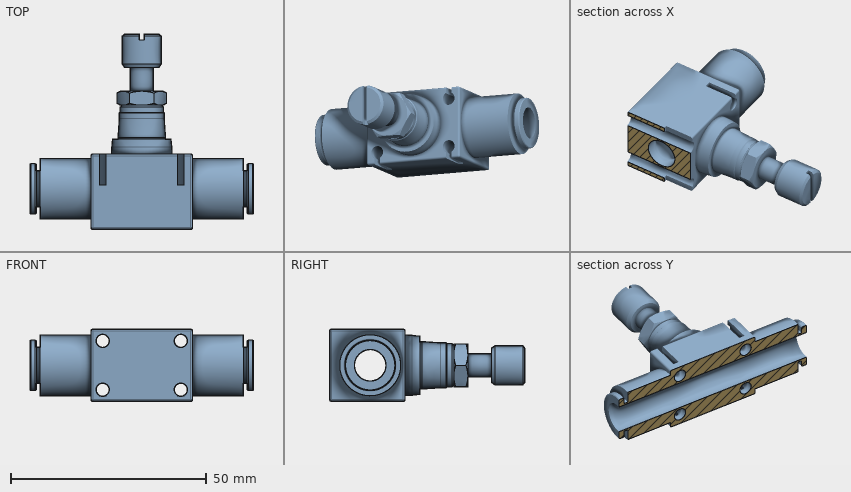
import cadquery as cq
import math

BODY_LENGTH = 26.0
BODY_HEIGHT = 18.5
BODY_BACK = 8.95
BODY_FRONT = -10.4
BODY_FILLET = 0.5

PORT_RADIUS = 7.8
PORT_END = 26.0
NECK_RADIUS = 4.65
COLLAR_RADIUS = 6.5
COLLAR_START = 27.0
COLLAR_END = 28.61
COLLAR_INNER_CHAMFER = 0.3
COLLAR_OUTER_CHAMFER = 0.2
BORE_RADIUS = 4.0

HOLE_RADIUS = 1.65
HOLE_X = 10.0
HOLE_Z = 6.25
SLIT_WIDTH = 1.6
SLIT_LENGTH = 8.0

BASE_BOTTOM_RADIUS = 7.8
BASE_TOP_RADIUS = 7.5
BASE_TOP = 12.7
BASE_SHOULDER_RADIUS = 7.7
BASE_SHOULDER = 10.75
SKIRT_UNDERCUT_RADIUS = 5.95
SKIRT_RADIUS = 6.12
SKIRT_BOTTOM = 13.2
SKIRT_MIDDLE = 15.6
SKIRT_MIDDLE_RADIUS = 5.93
SLEEVE_RADIUS = 5.8
SLEEVE_BOTTOM = 18.0
SLEEVE_TOP = 19.4
RING_RADIUS = 5.6
RING_BOTTOM = 19.6
RING_TOP = 20.9
NECKING_RADIUS = 5.5
NECKING_TOP_RADIUS = 5.2
NUT_BOTTOM = 21.4

NUT_THICKNESS = 3.6
NUT_FLATS = 11.0
NUT_CHAMFER_ANGLE = 30.0

STEM_RADIUS = 3.0
KNOB_RADIUS = 5.05
KNOB_BOTTOM = 31.0
KNOB_TOP = 39.6
KNOB_CHAMFER = 0.65
KNOB_TOP_CHAMFER_HEIGHT = 0.5
KNOB_BOTTOM_CHAMFER_HEIGHT = 1.0
DRIVER_SLOT_WIDTH = 1.2
DRIVER_SLOT_DEPTH = 1.5


def revolve_about_y(outline):
    return outline.close().revolve(360, (0, 0, 0), (0, 1, 0))


def make_body():
    depth = BODY_BACK - BODY_FRONT
    middle = (BODY_BACK + BODY_FRONT) / 2
    block = cq.Workplane("XY").box(BODY_LENGTH, depth, BODY_HEIGHT)
    return block.edges().fillet(BODY_FILLET).translate((0, middle, 0))


def make_port(side):
    """One port on the +X side (side = 1) or the -X side (side = -1)."""
    outline = (
        cq.Workplane("XY")
        .lineTo(0, PORT_RADIUS)
        .lineTo(side * PORT_END, PORT_RADIUS)
        .lineTo(side * PORT_END, NECK_RADIUS)
        .lineTo(side * COLLAR_START, NECK_RADIUS)
        .lineTo(side * COLLAR_START, COLLAR_RADIUS - COLLAR_INNER_CHAMFER)
        .lineTo(side * (COLLAR_START + COLLAR_INNER_CHAMFER), COLLAR_RADIUS)
        .lineTo(side * (COLLAR_END - COLLAR_OUTER_CHAMFER), COLLAR_RADIUS)
        .lineTo(side * COLLAR_END, COLLAR_RADIUS - COLLAR_OUTER_CHAMFER)
        .lineTo(side * COLLAR_END, 0)
        .close()
    )
    return outline.revolve(360, (0, 0, 0), (1, 0, 0))


def make_bonnet():
    outline = (
        cq.Workplane("XY")
        .moveTo(0, 0)
        .lineTo(BASE_BOTTOM_RADIUS, 0)
        .lineTo(BASE_BOTTOM_RADIUS, BODY_BACK)
        .lineTo(BASE_SHOULDER_RADIUS, BASE_SHOULDER)
        .lineTo(BASE_TOP_RADIUS, BASE_TOP)
        .lineTo(SKIRT_UNDERCUT_RADIUS, BASE_TOP)
        .lineTo(SKIRT_RADIUS, SKIRT_BOTTOM)
        .threePointArc((SKIRT_MIDDLE_RADIUS, SKIRT_MIDDLE), (SLEEVE_RADIUS, SLEEVE_BOTTOM))
        .lineTo(SLEEVE_RADIUS, SLEEVE_TOP)
        .lineTo(RING_RADIUS, RING_BOTTOM)
        .lineTo(RING_RADIUS, RING_TOP)
        .lineTo(NECKING_RADIUS, RING_TOP)
        .lineTo(NECKING_TOP_RADIUS, NUT_BOTTOM)
        .lineTo(0, NUT_BOTTOM)
    )
    return revolve_about_y(outline)


def make_nut():
    """Hexagon nut with corners on the X axis, both ends turned to a cone."""
    corner_radius = NUT_FLATS / math.sqrt(3)
    face_radius = NUT_FLATS / 2
    top = NUT_BOTTOM + NUT_THICKNESS
    drop = (corner_radius - face_radius) * math.tan(math.radians(NUT_CHAMFER_ANGLE))
    hexagon = (
        cq.Workplane("XZ", origin=(0, NUT_BOTTOM, 0))
        .polygon(6, 2 * corner_radius)
        .extrude(-NUT_THICKNESS)
    )
    turned = revolve_about_y(
        cq.Workplane("XY")
        .moveTo(0, NUT_BOTTOM)
        .lineTo(face_radius, NUT_BOTTOM)
        .lineTo(corner_radius, NUT_BOTTOM + drop)
        .lineTo(corner_radius, top - drop)
        .lineTo(face_radius, top)
        .lineTo(0, top)
    )
    return hexagon.intersect(turned)


def make_screw():
    chamfered_radius = KNOB_RADIUS - KNOB_CHAMFER
    screw = revolve_about_y(
        cq.Workplane("XY")
        .moveTo(0, NUT_BOTTOM)
        .lineTo(STEM_RADIUS, NUT_BOTTOM)
        .lineTo(STEM_RADIUS, KNOB_BOTTOM)
        .lineTo(chamfered_radius, KNOB_BOTTOM)
        .lineTo(KNOB_RADIUS, KNOB_BOTTOM + KNOB_BOTTOM_CHAMFER_HEIGHT)
        .lineTo(KNOB_RADIUS, KNOB_TOP - KNOB_TOP_CHAMFER_HEIGHT)
        .lineTo(chamfered_radius, KNOB_TOP)
        .lineTo(0, KNOB_TOP)
    )
    driver_slot = (
        cq.Workplane("XY")
        .box(DRIVER_SLOT_WIDTH, 2 * DRIVER_SLOT_DEPTH, 2 * KNOB_RADIUS)
        .translate((0, KNOB_TOP, 0))
    )
    return screw.cut(driver_slot)


def make_mounting_cut(x_side, z_side):
    """A through hole along Y with its slit out to the +Z or -Z face."""
    hole = (
        cq.Workplane("XZ", origin=(x_side * HOLE_X, BODY_FRONT, z_side * HOLE_Z))
        .circle(HOLE_RADIUS)
        .extrude(BODY_FRONT - BODY_BACK)
    )
    slit_height = BODY_HEIGHT / 2 - HOLE_Z
    slit = (
        cq.Workplane("XY")
        .box(SLIT_WIDTH, SLIT_LENGTH, slit_height)
        .translate((x_side * HOLE_X, BODY_BACK - SLIT_LENGTH / 2, z_side * (HOLE_Z + slit_height / 2)))
    )
    return hole.union(slit)


result = make_body().union(make_bonnet()).union(make_nut()).union(make_screw())
for side in (1, -1):
    result = result.union(make_port(side))

bore = cq.Workplane("YZ").circle(BORE_RADIUS).extrude(COLLAR_END, both=True)
result = result.cut(bore)

for x_side in (1, -1):
    for z_side in (1, -1):
        result = result.cut(make_mounting_cut(x_side, z_side))